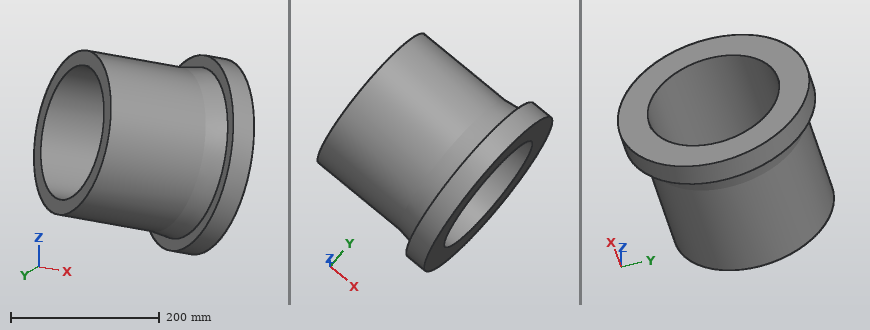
import cadquery as cq

total_length = 207.0
flange_length = 32.0
cone_length = 30.8
flange_diameter = 268.0
cone_end_diameter = 234.8
pipe_diameter = 225.0
bore_diameter = 184.0

flange_start = total_length - flange_length
cone_start = flange_start - cone_length

wall_section = (
    cq.Workplane("XY")
    .moveTo(0, bore_diameter / 2)
    .lineTo(0, pipe_diameter / 2)
    .lineTo(cone_start, pipe_diameter / 2)
    .lineTo(flange_start, cone_end_diameter / 2)
    .lineTo(flange_start, flange_diameter / 2)
    .lineTo(total_length, flange_diameter / 2)
    .lineTo(total_length, bore_diameter / 2)
    .close()
)
result = wall_section.revolve(360, (0, 0, 0), (1, 0, 0))